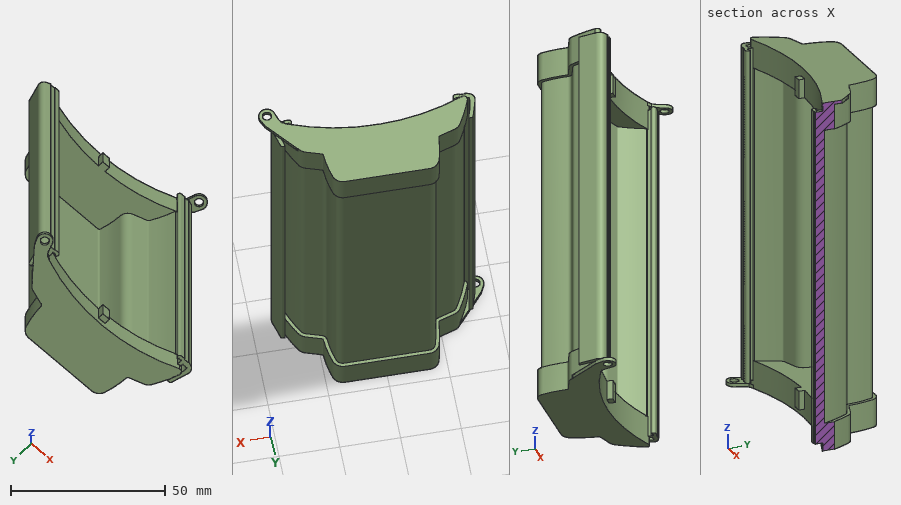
import cadquery as cq
import math

LENGTH = 122.0
OVERALL_WIDTH = 74.1
CAP_DEPTH = 9.8
LUG_THICKNESS = 1.2
RAIL_END_GAP = 2.8
RAIL_LENGTH = LENGTH - 2 * RAIL_END_GAP

BACK_Y = 19.7
BACK_HALF_WIDTH = 16.6
WALL_BULGE = (18.3, 13.9)
WALL_FOOT = (19.0, 8.0)
SHOULDER = (25.9, 5.9)
FLANK_BULGE = (28.9, 0.2)
FLANK_FOOT = (30.8, -4.3)
FRONT_CORNER_Y = -5.7
FRONT_RADIUS = 77.4
BACK_FILLET = 3.7
WALL_FOOT_FILLET = 0.7
SHOULDER_FILLET = 3.7
FRONT_CORNER_FILLET = 1.1

SHELL_INSET = 1.2
SHELL_THICKNESS = 1.7
FLANK_END_SLOPE = 0.45

LUG_FRONT_Y = -12.2
LUG_RADIUS = 2.7
LUG_CENTRE = (OVERALL_WIDTH / 2 - LUG_RADIUS, LUG_FRONT_Y + LUG_RADIUS)
LUG_HOLE_RADIUS = 1.5
LUG_ROOT_BACK = (26.7, 4.6)
LUG_BEND = (35.6, -6.0)
LUG_ROOT_FRONT = (28.3, -5.4)
LUG_NECK_START = (30.0, -6.2)
LUG_NECK_END = (30.9, -7.6)

KEY_WIDTH = 2.9
KEY_PROJECTION = 2.1
KEY_END_GAP = 3.2

RAIL_TOP_Y = 1.1
BLADE_TOP_INNER_X = 30.3
BLADE_TOP_OUTER_X = 31.0
BLADE_TIP_MIDDLE = (31.5, 1.0)
BLADE_TIP_END = (31.7, 0.5)
HEEL_START = (33.5, -5.4)
HEEL_MIDDLE = (33.3, -7.0)
HEEL_END = (32.3, -7.9)
BLADE_FOOT_INNER = (31.7, -5.1)
RAIL_FLOOR_Y = -6.6
RAIL_BOTTOM_Y = -8.5
POST_NEAR_X = 28.5
POST_FAR_X = 29.9
POST_EMBED = 0.2
GROOVE_DEPTH = 0.2
GROOVE_NEAR_X = 28.9
GROOVE_FAR_X = 30.8
NOTCH_Y = -7.3
LIP_TOP_Y = -6.8
LIP_START_X = 27.5
LIP_TIP_X = 26.6


def front_sag(x):
    """Y of the curved front face at the given X."""
    return math.sqrt(FRONT_RADIUS**2 - x**2) - FRONT_RADIUS


def mirrored(point):
    """The same point on the -X side."""
    return (-point[0], point[1])


def cap_body(height, front_extension=0):
    """Solid with the cap outline, standing on Z = 0; its front can be moved out along -Y,
    with the flanks running on at their end slope."""
    crown = (0, -front_extension)
    front_y = FRONT_CORNER_Y - front_extension
    flat_end_x = math.sqrt(FRONT_RADIUS**2 - (FRONT_RADIUS + FRONT_CORNER_Y) ** 2)
    flat_end = (flat_end_x, front_y)
    front_corner = (FLANK_FOOT[0] + front_extension * FLANK_END_SLOPE, front_y)
    back_corner = (BACK_HALF_WIDTH, BACK_Y)
    body = (
        cq.Workplane("XY")
        .moveTo(*mirrored(back_corner))
        .lineTo(*back_corner)
        .threePointArc(WALL_BULGE, WALL_FOOT)
        .lineTo(*SHOULDER)
        .threePointArc(FLANK_BULGE, FLANK_FOOT)
        .lineTo(*front_corner)
        .lineTo(*flat_end)
        .threePointArc(crown, mirrored(flat_end))
        .lineTo(*mirrored(front_corner))
        .lineTo(*mirrored(FLANK_FOOT))
        .threePointArc(mirrored(FLANK_BULGE), mirrored(SHOULDER))
        .lineTo(*mirrored(WALL_FOOT))
        .threePointArc(mirrored(WALL_BULGE), mirrored(back_corner))
        .close()
        .extrude(height)
    )
    corners = [
        (back_corner, BACK_FILLET),
        (WALL_FOOT, WALL_FOOT_FILLET),
        (SHOULDER, SHOULDER_FILLET),
        (front_corner, FRONT_CORNER_FILLET),
    ]
    for corner, radius in corners:
        for x, y in (corner, mirrored(corner)):
            edge = cq.selectors.NearestToPointSelector((x, y, height / 2))
            body = body.edges("|Z").edges(edge).fillet(radius)
    return body


def inset_body(inset, height, front_extension=0):
    """Cap outline, optionally extended, then shrunk evenly by the inset; centred on Z = 0."""
    outline = cap_body(height, front_extension).faces("<Z").wires().val()
    shrunk = outline.offset2D(-inset)
    return cq.Workplane("XY").add(shrunk).toPending().extrude(height).translate((0, 0, -height / 2))


def shell():
    """Thin wall between the caps, following their outline and open along the curved front."""
    wall_length = LENGTH - 2 * CAP_DEPTH
    inner_inset = SHELL_INSET + SHELL_THICKNESS
    wall = inset_body(SHELL_INSET, wall_length, front_extension=SHELL_INSET)
    cavity = inset_body(inner_inset, wall_length, front_extension=2 * inner_inset)
    return wall.cut(cavity)


def tangent_point(point, side):
    """Where a line from the point touches the lug's round end; side is +1 or -1."""
    dx = point[0] - LUG_CENTRE[0]
    dy = point[1] - LUG_CENTRE[1]
    angle = math.atan2(dy, dx) + side * math.acos(LUG_RADIUS / math.hypot(dx, dy))
    return (
        LUG_CENTRE[0] + LUG_RADIUS * math.cos(angle),
        LUG_CENTRE[1] + LUG_RADIUS * math.sin(angle),
    )


def lug():
    """Hinge plate reaching out past the +X end of the cap."""
    diagonal = LUG_RADIUS * math.sqrt(0.5)
    lug_tip = (LUG_CENTRE[0] + diagonal, LUG_CENTRE[1] - diagonal)
    return (
        cq.Workplane("XY")
        .moveTo(*LUG_ROOT_BACK)
        .lineTo(*LUG_BEND)
        .lineTo(*tangent_point(LUG_BEND, -1))
        .threePointArc(lug_tip, tangent_point(LUG_NECK_END, 1))
        .lineTo(*LUG_NECK_END)
        .lineTo(*LUG_NECK_START)
        .lineTo(*LUG_ROOT_FRONT)
        .close()
        .extrude(LUG_THICKNESS)
        .cut(cq.Workplane("XY").center(*LUG_CENTRE).circle(LUG_HOLE_RADIUS).extrude(LUG_THICKNESS))
    )


def top_end():
    """Cap with its key and its lug, at the +Z end."""
    key_height = CAP_DEPTH - KEY_END_GAP
    key = cq.Workplane("XY").box(KEY_WIDTH, 2 * KEY_PROJECTION, key_height, centered=(True, True, False))
    end = cap_body(CAP_DEPTH).union(key)
    end = end.union(lug().translate((0, 0, CAP_DEPTH - LUG_THICKNESS)))
    return end.translate((0, 0, LENGTH / 2 - CAP_DEPTH))


def rail():
    """Hooked rail on the +X side; its post runs into the front of the caps and shell."""
    post_top_y = front_sag(POST_NEAR_X) + POST_EMBED
    groove_y = RAIL_BOTTOM_Y + GROOVE_DEPTH
    lip_middle_y = (RAIL_BOTTOM_Y + LIP_TOP_Y) / 2
    return (
        cq.Workplane("XY")
        .moveTo(BLADE_TOP_INNER_X, RAIL_TOP_Y)
        .lineTo(BLADE_TOP_OUTER_X, RAIL_TOP_Y)
        .threePointArc(BLADE_TIP_MIDDLE, BLADE_TIP_END)
        .lineTo(*HEEL_START)
        .threePointArc(HEEL_MIDDLE, HEEL_END)
        .lineTo(GROOVE_FAR_X, RAIL_BOTTOM_Y)
        .lineTo(GROOVE_FAR_X, groove_y)
        .lineTo(GROOVE_NEAR_X, groove_y)
        .lineTo(GROOVE_NEAR_X, RAIL_BOTTOM_Y)
        .lineTo(LIP_START_X, RAIL_BOTTOM_Y)
        .threePointArc((LIP_TIP_X, lip_middle_y), (LIP_START_X, LIP_TOP_Y))
        .lineTo(LIP_START_X, NOTCH_Y)
        .lineTo(POST_NEAR_X, NOTCH_Y)
        .lineTo(POST_NEAR_X, post_top_y)
        .lineTo(POST_FAR_X, post_top_y)
        .lineTo(POST_FAR_X, RAIL_FLOOR_Y)
        .lineTo(BLADE_FOOT_INNER[0], RAIL_FLOOR_Y)
        .lineTo(*BLADE_FOOT_INNER)
        .close()
        .extrude(RAIL_LENGTH / 2, both=True)
    )


upper = top_end()
lower = upper.rotate((0, 0, 0), (0, 1, 0), 180)
right_rail = rail()
left_rail = right_rail.mirror("YZ")
result = shell().union(upper).union(lower).union(right_rail).union(left_rail)